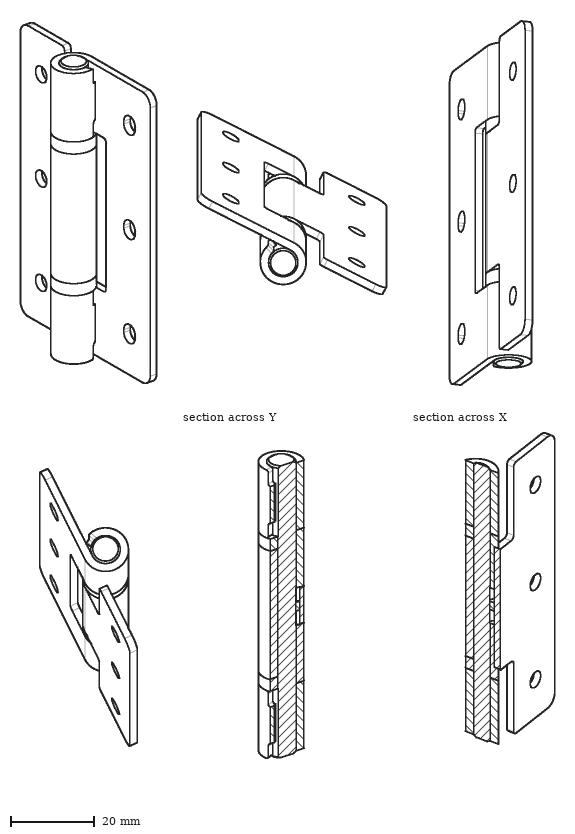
import cadquery as cq
import math


hinge_width = 50.0
pin_length = 79.0
leaf_height = 78.0

knuckle_radius = 5.49
sheet_thickness = 2.0
bore_radius = knuckle_radius - sheet_thickness
middle_knuckle_length = 34.75
ring_thickness = 3.2
knuckle_gap = middle_knuckle_length + 2 * ring_thickness
outer_knuckle_length = (leaf_height - knuckle_gap) / 2
outer_knuckle_center = (leaf_height + knuckle_gap) / 4

left_end_angle = 10.5
right_end_angle = 21.0
tab_angle = 33.0
tab_length = 10.0
roll_corner_radius = 0.6

leaf_clearance = 8.0
outer_corner_radius = 3.0
inner_corner_radius = 1.0

hole_offset = 17.0
hole_pitch = 28.0
hole_width = 4.3
slot_height = 5.0

pin_chamfer = 0.5
weld_length = 2.5


def polar_point(side, radius, angle):
    """Point at an angle above the X axis, on the given side of the pin."""
    turn = math.radians(angle)
    return (side * radius * math.cos(turn), radius * math.sin(turn))


def wall_sector(side, start_angle, end_angle, length):
    """Piece of the rolled wall between two angles, centred on Z = 0."""
    middle_angle = (start_angle + end_angle) / 2
    return (
        cq.Workplane("XY", origin=(0, 0, -length / 2))
        .moveTo(*polar_point(side, bore_radius, start_angle))
        .lineTo(*polar_point(side, knuckle_radius, start_angle))
        .threePointArc(
            polar_point(side, knuckle_radius, middle_angle),
            polar_point(side, knuckle_radius, end_angle),
        )
        .lineTo(*polar_point(side, bore_radius, end_angle))
        .threePointArc(
            polar_point(side, bore_radius, middle_angle),
            polar_point(side, bore_radius, start_angle),
        )
        .close()
        .extrude(length)
    )


def rolled_sheet(side):
    """Flat sheet rolled around the pin as far as the tab tips, over the full leaf height."""
    outer_edge = side * hinge_width / 2
    return (
        cq.Workplane("XY", origin=(0, 0, -leaf_height / 2))
        .moveTo(outer_edge, knuckle_radius)
        .lineTo(0, knuckle_radius)
        .threePointArc((0, -knuckle_radius), polar_point(side, knuckle_radius, tab_angle))
        .lineTo(*polar_point(side, bore_radius, tab_angle))
        .threePointArc((0, -bore_radius), (0, bore_radius))
        .lineTo(outer_edge, bore_radius)
        .close()
        .extrude(leaf_height)
    )


def clearance_block(side, length, center_z):
    """Space for the other leaf: everything from the cut-back edge across the knuckle."""
    width = leaf_clearance + 2 * knuckle_radius
    return (
        cq.Workplane("XY")
        .box(width, 4 * knuckle_radius, length)
        .translate((side * (leaf_clearance - width / 2), 0, center_z))
    )


def round_sheet_corners(leaf, side, x_position, radius):
    """Round the corners of the flat sheet that lie at one distance from the pin axis."""
    slack = 0.1
    corner_box = cq.selectors.BoxSelector(
        (side * x_position - slack, 0, -leaf_height),
        (side * x_position + slack, 2 * knuckle_radius, leaf_height),
    )
    return leaf.edges("|Y").edges(corner_box).fillet(radius)


def make_leaf(side, end_angle, clearances, knuckle_length, knuckle_centers, hole_height):
    """Leaf with its knuckles, roll tabs, rounded corners and screw holes."""
    leaf = rolled_sheet(side)
    for length, center_z in clearances:
        leaf = leaf.cut(clearance_block(side, length, center_z))

    relief_length = (knuckle_length - tab_length) / 2
    relief = wall_sector(side, end_angle, tab_angle, relief_length)
    for center_z in knuckle_centers:
        for end in (-1, 1):
            relief_center = center_z + end * (knuckle_length - relief_length) / 2
            leaf = leaf.cut(relief.translate((0, 0, relief_center)))
    radial_direction = cq.Vector(*polar_point(side, 1, end_angle))
    roll_corners = cq.selectors.ParallelDirSelector(radial_direction)
    leaf = leaf.edges(roll_corners).fillet(roll_corner_radius)

    leaf = round_sheet_corners(leaf, side, hinge_width / 2, outer_corner_radius)
    leaf = round_sheet_corners(leaf, side, leaf_clearance, inner_corner_radius)

    return leaf.cut(screw_holes(side, hole_height))


def screw_holes(side, hole_height):
    """Column of three through holes, slotted along Z when taller than wide."""
    places = cq.Workplane("XZ").center(side * hole_offset, 0).rarray(0.8, hole_pitch, 1, 3)
    if hole_height > hole_width:
        holes = places.slot2D(hole_height, hole_width, 90)
    else:
        holes = places.circle(hole_width / 2)
    return holes.extrude(-2 * knuckle_radius)


def make_tube(length):
    """Full round of the knuckle wall, centred on Z = 0."""
    return (
        cq.Workplane("XY", origin=(0, 0, -length / 2))
        .circle(knuckle_radius)
        .circle(bore_radius)
        .extrude(length)
    )


def make_spacer_ring(end, leaf):
    """Ring between two knuckles, with a key that fills the roll gap up to the tab."""
    key_length = (middle_knuckle_length - tab_length) / 2
    tube = make_tube(ring_thickness + key_length)
    away_from_key = wall_sector(-1, 90, 360 + left_end_angle, key_length)
    spacer = tube.cut(away_from_key.translate((0, 0, -ring_thickness / 2)))
    if end < 0:
        spacer = spacer.mirror("XY")
    spacer_center = end * (tab_length + key_length + ring_thickness) / 2
    return spacer.translate((0, 0, spacer_center)).cut(leaf)


def make_pin():
    """Straight pin with chamfered ends."""
    pin = cq.Workplane("XY", origin=(0, 0, -pin_length / 2)).circle(bore_radius).extrude(pin_length)
    return pin.faces("|Z").chamfer(pin_chamfer)


def make_weld(leaf):
    """Short bead between the tip of the middle tab and the underside of the sheet."""
    return wall_sector(-1, tab_angle, 90, weld_length).cut(leaf)


left_leaf = make_leaf(
    side=-1,
    end_angle=left_end_angle,
    clearances=[
        (outer_knuckle_length + ring_thickness, end * (leaf_height + middle_knuckle_length) / 4)
        for end in (-1, 1)
    ],
    knuckle_length=middle_knuckle_length,
    knuckle_centers=[0],
    hole_height=hole_width,
)
right_leaf = make_leaf(
    side=1,
    end_angle=right_end_angle,
    clearances=[(knuckle_gap, 0)],
    knuckle_length=outer_knuckle_length,
    knuckle_centers=[-outer_knuckle_center, outer_knuckle_center],
    hole_height=slot_height,
)
spacer_rings = [make_spacer_ring(end, left_leaf) for end in (-1, 1)]
pin = make_pin()
weld = make_weld(left_leaf)

result = cq.Compound.makeCompound(
    [left_leaf.val(), right_leaf.val(), *[ring.val() for ring in spacer_rings], pin.val(), weld.val()]
)